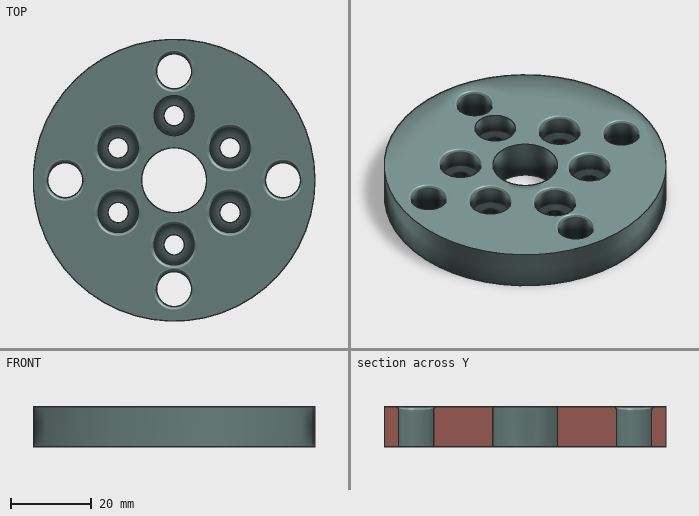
import cadquery as cq

plate_diameter = 70.0
plate_thickness = 10.0
bore_diameter = 16.0

outer_hole_count = 4
outer_hole_diameter = 8.6
outer_circle_radius = 27.0

inner_hole_count = 6
inner_hole_diameter = 5.0
inner_circle_radius = 16.0
counterbore_diameter = 10.0
counterbore_depth = 5.0
sharp_hole_angle = 90.0

rim_radius = 1.0


def circle_angles(count):
    """Evenly spaced angles in degrees, with one hole on +Y."""
    return [sharp_hole_angle + i * 360.0 / count for i in range(count)]


def hole_cutter(diameter, depth, rounded):
    """Vertical cutter going down from the top face, on the Z axis."""
    radius = diameter / 2
    floor = plate_thickness - depth
    profile = cq.Workplane("XZ").moveTo(0, floor).lineTo(radius, floor)
    if rounded:
        profile = profile.lineTo(radius, plate_thickness - rim_radius).radiusArc(
            (radius + rim_radius, plate_thickness), rim_radius
        )
    else:
        profile = profile.lineTo(radius, plate_thickness)
    return profile.lineTo(0, plate_thickness).close().revolve(360, (0, 0, 0), (0, 1, 0))


def place(cutter, circle_radius, angle):
    """Move a cutter from the Z axis onto a hole circle."""
    return cutter.translate((circle_radius, 0, 0)).rotate((0, 0, 0), (0, 0, 1), angle)


result = cq.Workplane("XY").circle(plate_diameter / 2).circle(bore_diameter / 2).extrude(plate_thickness)

for angle in circle_angles(outer_hole_count):
    outer_hole = hole_cutter(outer_hole_diameter, plate_thickness, rounded=True)
    result = result.cut(place(outer_hole, outer_circle_radius, angle))

for angle in circle_angles(inner_hole_count):
    counterbore = hole_cutter(counterbore_diameter, counterbore_depth, rounded=angle != sharp_hole_angle)
    through_hole = hole_cutter(inner_hole_diameter, plate_thickness, rounded=False)
    result = result.cut(place(counterbore, inner_circle_radius, angle))
    result = result.cut(place(through_hole, inner_circle_radius, angle))